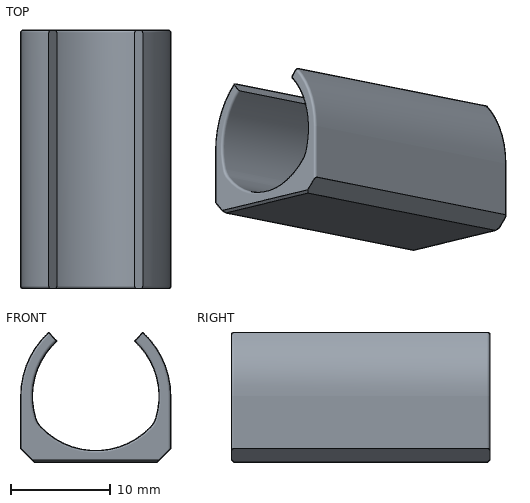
import cadquery as cq
import math

length = 26.0
width = 15.1
height = 13.08
wall = 1.2
end_rounding = 0.25
bottom_chamfer = 0.25
corner_chamfer = 1.4

arm_outer_radius = 8.7
arm_inner_radius = arm_outer_radius - wall
arm_offset = arm_outer_radius - width / 2
arm_center_z = 6.65

floor_radius = 7.6
floor_center_z = wall + floor_radius
blend_radius = 2.24


def bar(radius, x, z):
    """Round bar along Y, centred lengthwise on the origin."""
    return cq.Workplane("XZ").center(x, z).circle(radius).extrude(length / 2, both=True)


def arch(radius):
    """Pointed arch section shared by the two arms, made as a full lens."""
    left = bar(radius, arm_offset, arm_center_z)
    right = bar(radius, -arm_offset, arm_center_z)
    return left.intersect(right)


def prism(points):
    """Polygon in the XZ plane extruded along the full length."""
    return cq.Workplane("XZ").polyline(points).close().extrude(length / 2, both=True)


base = cq.Workplane("XY").box(width, length, arm_center_z, centered=(True, True, False))
cavity = arch(arm_inner_radius).intersect(bar(floor_radius, 0, floor_center_z))
cavity = cavity.edges("|Y").edges("<Z").fillet(blend_radius)
above_floor = cq.Workplane("XY").box(
    width, length, 2 * arm_outer_radius, centered=(True, True, False)
)
tube = base.union(arch(arm_outer_radius).intersect(above_floor)).cut(cavity)

tube = tube.faces("<Y or >Y").edges("not <Z").fillet(end_rounding)

tip_rise = height - arm_center_z
mouth_angle = math.asin(tip_rise / arm_outer_radius)
wedge_bottom = arm_center_z + arm_offset * math.tan(mouth_angle)
wedge_top = arm_center_z + 2 * arm_outer_radius
wedge_half = (wedge_top - wedge_bottom) / math.tan(mouth_angle)
mouth = prism([(0, wedge_bottom), (wedge_half, wedge_top), (-wedge_half, wedge_top)])
result = tube.cut(mouth)

for side in (-1, 1):
    corner_x = side * width / 2
    bevel = prism([
        (corner_x, 0),
        (corner_x, corner_chamfer),
        (corner_x - side * corner_chamfer, 0),
    ])
    result = result.cut(bevel)

result = result.faces("<Z").edges("|X").chamfer(bottom_chamfer)